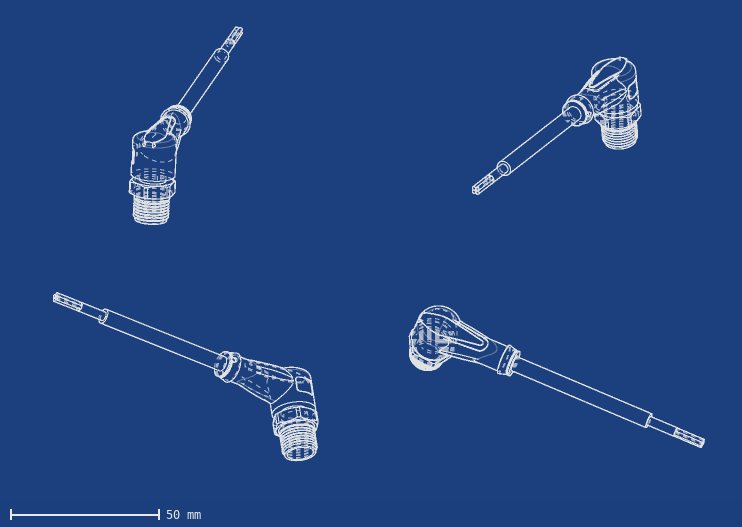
import cadquery as cq
import math

PLUG_LEAN = 10.0

CABLE_START = 28.8
JACKET_LENGTH = 50.1
JACKET_DIAMETER = 5.1
CORE_LENGTH = 10.0
CORE_DIAMETER = 3.2
WIRE_LENGTH = 10.0
WIRE_DIAMETER = 1.3

SLEEVE_RADIUS = 4.5
SLEEVE_FRONT = 12.0
COLLAR_RADIUS = 5.2
COLLAR_FRONT = 24.9
COLLAR_GROOVE_START = 28.2
COLLAR_GROOVE_END = 27.7
COLLAR_GROOVE_DEPTH = 0.2
DIMPLE_RADIUS = 0.9
DIMPLE_Y = 27.1
DIMPLE_DEPTH = 0.3

GRIP_STATIONS = [(22.7, 3.4, 4.4), (12.0, 5.3, 6.0), (2.2, 6.7, 6.7), (-8.7, 7.0, 6.7)]

HEAD_DIAMETER = 15.0
HEAD_RADIUS = HEAD_DIAMETER / 2
HEAD_BOTTOM = -7.9
SHOULDER_HEIGHT = 5.7
SHOULDER_SLOPE = 6.0
SHOULDER_ROUND = 1.4
CROWN_HEIGHT = 6.9
CROWN_ROUND = 1.3

CROWN_TIP_Y = 17.0
CROWN_TIP_RADIUS = 1.0
CROWN_WIDE_Y = 2.0
CROWN_WIDE_HALF = 3.5
CROWN_FRONT_Y = -5.2
CROWN_FRONT_HALF = 1.7
CROWN_SIDE_BULGE = 0.3
CROWN_GROOVE_TIP_WIDTH = 1.6
CROWN_GROOVE_END_WIDTH = 0.7
CROWN_GROOVE_DEPTH = 0.4

NOTCH_OFFSET = 2.0
NOTCH_WIDTH = 1.3
NOTCH_DEPTH = 0.5
NOTCH_TILT = 45.0

FLANK_REAR = (18.1, 2.8, 0.4)
FLANK_FRONT = (3.7, 0.9, 0.3)
FLANK_FRONT_HALF_WIDTH = 6.7

PANEL_WIDTH = 7.4
PANEL_HEIGHT = 5.5
PANEL_CORNER = 1.1
PANEL_SHIFT = 0.9
PANEL_CENTRE = -1.1
PANEL_DEPTH = 0.2

CARRIER_RADIUS = 4.5
CARRIER_END = -16.4
HEX_TOP = -9.7
HEX_BOTTOM = -14.3
HEX_ACROSS_FLATS = 14.2
HEX_CORNER_RADIUS = 7.9
HEX_CHAMFER_HEIGHT = 0.4
HEX_CHAMFER_WIDTH = 0.9
SHANK_RADIUS = 6.1
THREAD_START = -15.6
THREAD_RADIUS = 6.0
THREAD_DEPTH = 0.4
THREAD_PITCH = 1.0
THREAD_TURNS = 7
NUT_END = -23.7
NUT_END_RADIUS = 5.3


def lean(shape):
    """Tip a shape built about Z onto the plug axis, whose lower end points to -Y."""
    return shape.rotate((0, 0, 0), (1, 0, 0), -PLUG_LEAN)


def rod_along_y(start, length, radius, x=0, z=0):
    """Round rod running towards +Y from the given start."""
    plane = cq.Plane(origin=(x, start, z), xDir=(1, 0, 0), normal=(0, 1, 0))
    return cq.Workplane(plane).circle(radius).extrude(length)


def oval_loft(inset):
    """Grip envelope through the oval stations, shrunk by the inset."""
    wires = []
    for y, half_width, half_height in GRIP_STATIONS:
        wires.append(cq.Wire.makeEllipse(
            half_width - inset, half_height - inset,
            cq.Vector(0, y, 0), cq.Vector(0, 1, 0), cq.Vector(1, 0, 0)))
    return cq.Workplane(cq.Solid.makeLoft(wires, False))


def upper_box(y_min, y_max):
    """Block above the cable axis between two Y positions."""
    size = 4 * HEAD_RADIUS
    block = cq.Workplane().box(size, y_max - y_min, size, centered=(True, False, False))
    return block.translate((0, y_min, 0))


def sleeve():
    groove_radius = SLEEVE_RADIUS - COLLAR_GROOVE_DEPTH
    profile = [
        (0, CABLE_START), (SLEEVE_RADIUS, CABLE_START),
        (SLEEVE_RADIUS, COLLAR_GROOVE_START), (groove_radius, COLLAR_GROOVE_START),
        (groove_radius, COLLAR_GROOVE_END), (SLEEVE_RADIUS, COLLAR_GROOVE_END),
        (COLLAR_RADIUS, COLLAR_FRONT), (SLEEVE_RADIUS, COLLAR_FRONT),
        (SLEEVE_RADIUS, SLEEVE_FRONT), (0, SLEEVE_FRONT),
    ]
    body = cq.Workplane("XY").polyline(profile).close().revolve(360, (0, 0, 0), (0, 1, 0))
    dimple = (
        cq.Workplane("YZ", origin=(-SLEEVE_RADIUS + DIMPLE_DEPTH, 0, 0))
        .center(DIMPLE_Y, 0).circle(DIMPLE_RADIUS).extrude(-COLLAR_RADIUS)
    )
    return body.cut(dimple)


def head_column(top_height, slope, rounding):
    """Leaning column of the head, cut off at the given height and rounded at the top edge."""
    column = lean(
        cq.Workplane("XY", origin=(0, 0, HEAD_BOTTOM)).circle(HEAD_RADIUS).extrude(4 * HEAD_RADIUS)
    )
    size = 8 * HEAD_RADIUS
    lid = (
        cq.Workplane().box(size, size, size, centered=(True, True, False))
        .rotate((0, 0, 0), (1, 0, 0), -slope).translate((0, 0, top_height))
    )
    column = column.cut(lid)
    return column.faces(">Z").edges().fillet(rounding)


def teardrop(tip_margin, end_margin):
    """Tall prism on the crown outline, widened by one margin at the tip and another at the widest place."""
    tip = CROWN_TIP_RADIUS + tip_margin
    wide = CROWN_WIDE_HALF + end_margin
    front = CROWN_FRONT_HALF
    front_end = -2 * HEAD_RADIUS
    tip_side_y = CROWN_TIP_Y - CROWN_TIP_RADIUS
    bulge_x = (wide + front) / 2 + CROWN_SIDE_BULGE
    bulge_y = (CROWN_WIDE_Y + CROWN_FRONT_Y) / 2
    return (
        cq.Workplane("XY")
        .moveTo(-front, front_end).lineTo(-front, CROWN_FRONT_Y)
        .threePointArc((-bulge_x, bulge_y), (-wide, CROWN_WIDE_Y)).lineTo(-tip, tip_side_y)
        .threePointArc((0, CROWN_TIP_Y + tip_margin), (tip, tip_side_y)).lineTo(wide, CROWN_WIDE_Y)
        .threePointArc((bulge_x, bulge_y), (front, CROWN_FRONT_Y)).lineTo(front, front_end)
        .close().extrude(2 * HEAD_RADIUS)
    )


def crown():
    """Ridge that runs on from the grip over the head and ends at its rounded front edge."""
    limit = head_column(CROWN_HEIGHT, 0, CROWN_ROUND).union(upper_box(CROWN_WIDE_Y, CABLE_START))
    return oval_loft(0).intersect(teardrop(0, 0)).intersect(limit)


def crown_groove():
    """Channel of even depth round the part of the crown that lies behind the head."""
    ring = teardrop(CROWN_GROOVE_TIP_WIDTH, CROWN_GROOVE_END_WIDTH).cut(teardrop(0, 0))
    return ring.intersect(upper_box(CROWN_WIDE_Y, CABLE_START)).cut(oval_loft(CROWN_GROOVE_DEPTH))


def flank_hollow(side):
    """Tapering round-bottomed hollow on one flank; side is -1 or 1."""
    wires = []
    for (y, half_height, depth), surface in (
        (FLANK_REAR, SLEEVE_RADIUS), (FLANK_FRONT, FLANK_FRONT_HALF_WIDTH)
    ):
        radius = (half_height ** 2 + depth ** 2) / (2 * depth)
        centre = cq.Vector(side * (surface - depth + radius), y, 0)
        wires.append(cq.Wire.makeCircle(radius, centre, cq.Vector(0, 1, 0)))
    return cq.Workplane(cq.Solid.makeLoft(wires, True))


def front_notches():
    """Two blocks whose lower faces cut tilted flats across the rounded front edge."""
    lean_angle = math.radians(PLUG_LEAN)
    edge_y = CROWN_HEIGHT * math.tan(lean_angle) - HEAD_RADIUS / math.cos(lean_angle)
    rounding_loss = (math.sqrt(2) - 1) * CROWN_ROUND
    blocks = (
        cq.Workplane("XY").pushPoints([(-NOTCH_OFFSET, 0), (NOTCH_OFFSET, 0)])
        .rect(NOTCH_WIDTH, HEAD_RADIUS).extrude(HEAD_RADIUS)
        .translate((0, 0, -rounding_loss - NOTCH_DEPTH))
    )
    return blocks.rotate((0, 0, 0), (1, 0, 0), NOTCH_TILT).translate((0, edge_y, CROWN_HEIGHT))


def label_panel():
    """Rounded panel of even depth sunk into the -X side of the head."""
    panel = (
        cq.Workplane("YZ", origin=(-2 * HEAD_RADIUS, -PANEL_SHIFT, PANEL_CENTRE))
        .rect(PANEL_WIDTH, PANEL_HEIGHT).extrude(2 * HEAD_RADIUS)
        .edges("|X").fillet(PANEL_CORNER)
    )
    core = (
        cq.Workplane("XY").circle(HEAD_RADIUS - PANEL_DEPTH)
        .extrude(4 * HEAD_RADIUS, both=True)
    )
    return lean(panel.cut(core))


def make_grip():
    reach = 2 * CABLE_START
    rear_half = (
        cq.Workplane().box(reach, reach, reach, centered=(True, False, True))
        .translate((0, CROWN_WIDE_Y, 0))
    )
    body = oval_loft(0).intersect(rear_half).cut(crown_groove())
    for side in (-1, 1):
        body = body.cut(flank_hollow(side))
    body = body.union(sleeve())
    body = body.union(head_column(SHOULDER_HEIGHT, SHOULDER_SLOPE, SHOULDER_ROUND))
    body = body.union(crown())
    return body.cut(front_notches()).cut(label_panel()).solids()


def make_carrier():
    return lean(
        cq.Workplane("XY", origin=(0, 0, CARRIER_END)).circle(CARRIER_RADIUS)
        .extrude(HEAD_BOTTOM - CARRIER_END)
    )


def nut_hex():
    across_corners = HEX_ACROSS_FLATS / math.cos(math.pi / 6)
    height = HEX_TOP - HEX_BOTTOM
    prism = (
        cq.Workplane("XY", origin=(0, 0, HEX_BOTTOM)).polygon(6, across_corners).extrude(height)
        .rotate((0, 0, 0), (0, 0, 1), 90)
    )
    rounding = (
        cq.Workplane("XY", origin=(0, 0, HEX_BOTTOM)).circle(HEX_CORNER_RADIUS).extrude(height)
        .edges().chamfer(HEX_CHAMFER_HEIGHT, HEX_CHAMFER_WIDTH)
    )
    return prism.intersect(rounding)


def nut_shank():
    """Plain collar, ring thread and chamfered end as one turned shape."""
    root = THREAD_RADIUS - THREAD_DEPTH
    profile = [
        (0, HEX_BOTTOM), (SHANK_RADIUS, HEX_BOTTOM),
        (SHANK_RADIUS, THREAD_START), (root, THREAD_START),
    ]
    for turn in range(THREAD_TURNS):
        top = THREAD_START - turn * THREAD_PITCH
        profile.append((THREAD_RADIUS, top - THREAD_PITCH / 2))
        profile.append((root, top - THREAD_PITCH))
    profile += [(NUT_END_RADIUS, NUT_END), (0, NUT_END)]
    return cq.Workplane("XZ").polyline(profile).close().revolve(360, (0, 0, 0), (0, 1, 0))


def make_nut():
    bore = (
        cq.Workplane("XY", origin=(0, 0, NUT_END)).circle(CARRIER_RADIUS).extrude(HEX_TOP - NUT_END)
    )
    return lean(nut_hex().union(nut_shank()).cut(bore)).solids()


def make_jacket():
    return rod_along_y(CABLE_START, JACKET_LENGTH, JACKET_DIAMETER / 2)


def make_core():
    return rod_along_y(CABLE_START + JACKET_LENGTH, CORE_LENGTH, CORE_DIAMETER / 2)


def make_wire(x_side, z_side):
    """One of the four wires, which touch each other in a square."""
    radius = WIRE_DIAMETER / 2
    start = CABLE_START + JACKET_LENGTH + CORE_LENGTH
    return rod_along_y(start, WIRE_LENGTH, radius, x_side * radius, z_side * radius)


grip = make_grip()
carrier = make_carrier()
nut = make_nut()
jacket = make_jacket()
core = make_core()
wires = []
for x_side in (-1, 1):
    for z_side in (-1, 1):
        wires.append(make_wire(x_side, z_side).val())

result = cq.Compound.makeCompound(
    [grip.val(), carrier.val(), nut.val(), jacket.val(), core.val(), *wires]
)